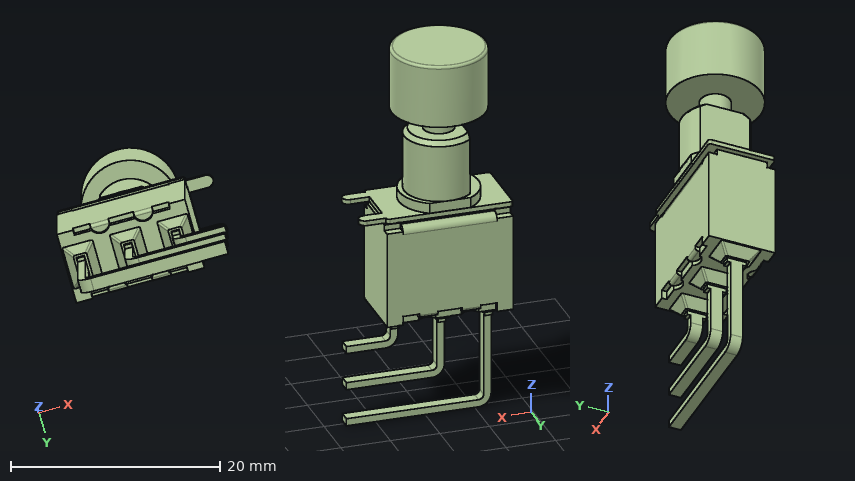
import cadquery as cq
import math


case_length = 12.75
case_width = 6.95
case_top = 10.45
sheet = 0.5
strip_length = 9.5
fold_radius = 0.75
fold_top = 10.35
corner_drop = 0.58
corner_inset = 0.85

notch_height = 0.93
tab_spacing = 4.32
tab_width = 1.85
tab_bottom = 0.45
tab_fold_radius = 0.35
pocket_diameter = 2.0

collar_radius = 5.5
collar_width = 5.25
collar_inset = 0.42
plate_bottom = 10.92
plate_top = plate_bottom + sheet
plate_corner_radius = 0.27
prong_spacing = 5.0
prong_width = 1.25
prong_end = 8.9
flange_radius = 4.0
flange_width = 6.85
flange_top = 12.45

bushing_radius = 3.47
bushing_flat = 2.3
bushing_top = 18.7
bushing_chamfer = 0.45
plunger_diameter = 3.1
button_diameter = 9.5
button_bottom = 20.9
button_top = 27.35
button_edge_radius = 0.27
dish_radius = 4.45
dish_depth = 0.75

terminal_pitch = 4.7
terminal_count = 3
terminal_thickness = 0.77
terminal_width = 1.27
terminal_end = 9.55
longest_drop = 11.23
drop_step = 3.82
bend_radius = 1.27
shoulder_width = 2.0
shoulder_bottom = -1.45
foot_length = 3.0
foot_width = 4.15
foot_height = 1.0
foot_inset = 0.85
foot_corner_radius = 0.25


def block(length, width, bottom, top, x=0, y=0):
    """Upright box centred on (x, y)."""
    return cq.Workplane("XY", origin=(x, y, bottom)).rect(length, width).extrude(top - bottom)


def disc(radius, bottom, top, x=0, y=0):
    """Upright cylinder centred on (x, y)."""
    return cq.Workplane("XY", origin=(x, y, bottom)).circle(radius).extrude(top - bottom)


def tapered_block(length, width, height, inset, corner_radius):
    """Rectangular frustum standing on z = 0, its sloping corners rounded."""
    taper = math.degrees(math.atan(inset / height))
    frustum = cq.Workplane("XY").rect(length, width).extrude(height, taper=taper)
    return frustum.edges("not(#Z)").fillet(corner_radius)


def make_case():
    strip = block(strip_length, case_width, 0, fold_top)
    strip = strip.faces(">Z").edges("|X").fillet(fold_radius)
    lower = block(case_length, case_width, 0, case_top - corner_drop)
    outside_strip = block(strip_length, case_width, fold_top - fold_radius, case_top)
    ridge = block(case_length, case_width - 2 * corner_inset, 0, case_top)
    return lower.cut(outside_strip).union(strip).union(ridge)


def cut_notches(case):
    """Notch both long sides, sink the pockets and hang the hooked tabs in front of them."""
    for side in (-1, 1):
        sheet_middle = side * (case_width - sheet) / 2
        case = case.cut(block(strip_length, sheet, 0, notch_height, y=sheet_middle))
        for tab_x in (-tab_spacing / 2, tab_spacing / 2):
            case = case.cut(disc(pocket_diameter / 2, 0, tab_bottom, tab_x, side * case_width / 2))
            tab = block(tab_width, sheet, tab_bottom, notch_height, tab_x, sheet_middle)
            outer_edge = ">Y" if side > 0 else "<Y"
            tab = tab.faces("<Z").edges(outer_edge).fillet(tab_fold_radius)
            case = case.union(tab)
    return case


def make_collar():
    height = plate_bottom - case_top
    taper = math.degrees(math.atan(collar_inset / height))
    base = cq.Workplane("XY", origin=(0, 0, case_top))
    cone = base.circle(collar_radius).extrude(height, taper=taper)
    ridge = base.rect(4 * collar_radius, collar_width).extrude(height, taper=taper)
    return cone.intersect(ridge)


def make_plate():
    plate = block(case_length, case_width, plate_bottom, plate_top)
    plate = plate.edges("|Z").fillet(plate_corner_radius)
    for prong_y in (-prong_spacing / 2, prong_spacing / 2):
        tip_x = prong_end - prong_width / 2
        prong = block(tip_x, prong_width, plate_bottom, plate_top, tip_x / 2, prong_y)
        tip = disc(prong_width / 2, plate_bottom, plate_top, tip_x, prong_y)
        plate = plate.union(prong).union(tip)
    return plate


def make_flange():
    sides = block(2 * flange_radius, flange_width, plate_top, flange_top)
    return disc(flange_radius, plate_top, flange_top).intersect(sides)


def make_bushing():
    bushing = disc(bushing_radius, flange_top, bushing_top).faces(">Z").chamfer(bushing_chamfer)
    kept_length = bushing_flat + bushing_radius
    kept_middle = (bushing_radius - bushing_flat) / 2
    return bushing.intersect(
        block(kept_length, 2 * bushing_radius, flange_top, bushing_top, x=kept_middle)
    )


def make_button():
    button = disc(button_diameter / 2, button_bottom, button_top)
    button = button.faces(">Z").edges().fillet(button_edge_radius)
    ball_radius = (dish_radius**2 + dish_depth**2) / (2 * dish_depth)
    ball_centre = button_top - dish_depth + ball_radius
    ball = cq.Workplane("XY", origin=(0, 0, ball_centre)).sphere(ball_radius)
    return button.cut(ball)


def make_terminal(x, drop):
    """L-shaped pin at x, bent towards +X, with its shoulder and its sealed foot."""
    left = x - terminal_thickness / 2
    right = x + terminal_thickness / 2
    profile = (
        cq.Workplane("XZ")
        .moveTo(left, 0)
        .lineTo(left, -drop)
        .lineTo(terminal_end, -drop)
        .lineTo(terminal_end, terminal_thickness - drop)
        .lineTo(right, terminal_thickness - drop)
        .lineTo(right, 0)
        .close()
    )
    pin = profile.extrude(terminal_width / 2, both=True)
    outer_corner = cq.selectors.NearestToPointSelector((left, 0, -drop))
    inner_corner = cq.selectors.NearestToPointSelector((right, 0, terminal_thickness - drop))
    pin = pin.edges("|Y").edges(outer_corner).fillet(bend_radius)
    pin = pin.edges("|Y").edges(inner_corner).fillet(bend_radius - terminal_thickness)
    shoulder = block(terminal_thickness, shoulder_width, shoulder_bottom, 0, x=x)
    foot = tapered_block(foot_length, foot_width, foot_height, foot_inset, foot_corner_radius)
    foot = foot.rotate((0, 0, 0), (1, 0, 0), 180).translate((x, 0, 0))
    return pin.union(shoulder).union(foot)


result = cut_notches(make_case())
result = result.union(make_collar()).union(make_plate()).union(make_flange()).union(make_bushing())
result = result.union(disc(plunger_diameter / 2, bushing_top, button_bottom)).union(make_button())
for index in range(terminal_count):
    terminal_x = (index - (terminal_count - 1) / 2) * terminal_pitch
    result = result.union(make_terminal(terminal_x, longest_drop - index * drop_step))